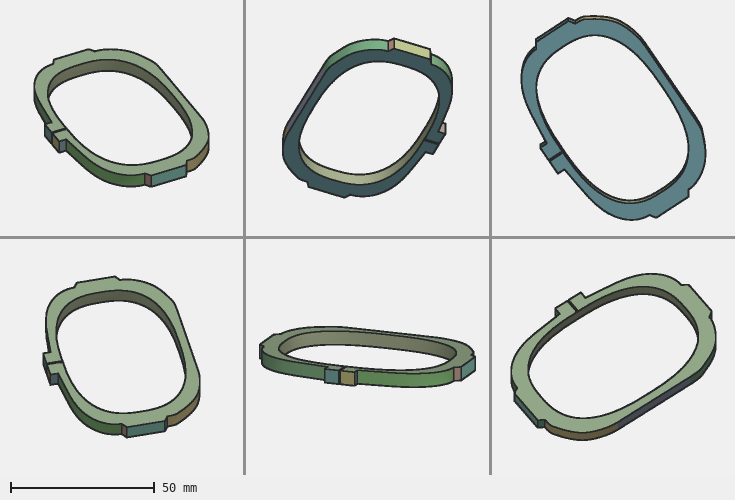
import cadquery as cq
import math

length = 75.3
width = 50.5
thickness = 5.0
half_length = length / 2
half_width = width / 2

ear_projection = 2.1
ear_top = 8.05
ear_bottom = -5.6
ear_bevel = 1.35
shoulder_x = half_length - ear_projection

top_flat_half = 15.65
upper_curve_points = [(22.6, 24.1), (28.4, 21.3), (34.5, 14.0)]
lower_curve_points = [(33.4, -13.25), (28.45, -17.8), (17.6, -21.15)]

opening_half_length = 31.0
opening_half_width = 20.85
opening_center_y = 1.3
opening_exponent = 2.6
opening_samples = 48

tab_half_width = 5.6
tab_root_y = -22.5
slot_width = 0.5
slot_end_y = -20.2


def mirrored(point):
    return (-point[0], point[1])


def signed_power(value, power):
    return math.copysign(abs(value) ** power, value)


def opening_point(index):
    angle = 2 * math.pi * index / opening_samples
    power = 2 / opening_exponent
    x = opening_half_length * signed_power(math.cos(angle), power)
    y = opening_half_width * signed_power(math.sin(angle), power)
    return (x, opening_center_y + y)


def make_body():
    top_end = (top_flat_half, half_width)
    upper_shoulder = (shoulder_x, ear_top + ear_bevel)
    lower_shoulder = (shoulder_x, ear_bottom - ear_bevel)
    tab_root = (tab_half_width, tab_root_y)
    right_upper = upper_curve_points + [upper_shoulder]
    left_upper = [mirrored(p) for p in reversed([top_end] + upper_curve_points)]
    right_lower = lower_curve_points + [tab_root]
    left_lower = [mirrored(p) for p in reversed([lower_shoulder] + lower_curve_points)]
    outline = (
        cq.Workplane("XY")
        .moveTo(*mirrored(top_end))
        .lineTo(*top_end)
        .spline(right_upper, tangents=[(1, 0), (0, -1)], includeCurrent=True)
        .lineTo(half_length, ear_top)
        .lineTo(half_length, ear_bottom)
        .lineTo(*lower_shoulder)
        .spline(right_lower, includeCurrent=True)
        .lineTo(tab_half_width, -half_width)
        .lineTo(-tab_half_width, -half_width)
        .lineTo(*mirrored(tab_root))
        .spline(left_lower, includeCurrent=True)
        .lineTo(-half_length, ear_bottom)
        .lineTo(-half_length, ear_top)
        .lineTo(*mirrored(upper_shoulder))
        .spline(left_upper, tangents=[(0, 1), (1, 0)], includeCurrent=True)
        .close()
    )
    return outline.extrude(thickness)


def make_opening():
    points = [opening_point(i) for i in range(opening_samples)]
    return cq.Workplane("XY").spline(points, periodic=True).close().extrude(thickness)


def make_slot():
    slot_length = slot_end_y + half_width
    return (
        cq.Workplane("XY")
        .center(0, -half_width + slot_length / 2)
        .rect(slot_width, slot_length)
        .extrude(thickness)
    )


result = make_body().cut(make_opening()).cut(make_slot())